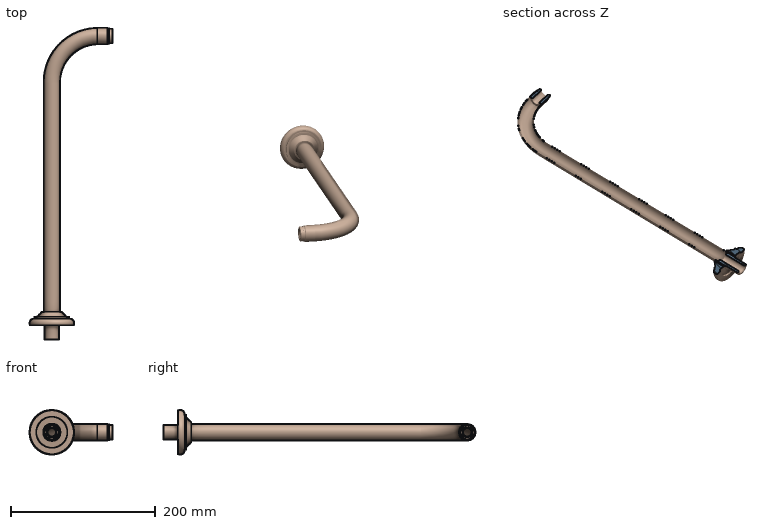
import cadquery as cq
import math


pipe_radius = 11.5
pipe_wall = 1.5
pipe_bore_radius = pipe_radius - pipe_wall
outlet_axis_y = 400.0
bend_radius = 64.0
bend_start_y = outlet_axis_y - bend_radius
pipe_end_x = 77.8
pipe_end_chamfer = 0.9

nipple_radius = 10.2
nipple_bore_radius = 5.8
nipple_plug_depth = 15.0
inlet_chamfer = 0.6
bore_chamfer = 1.2
inlet_length = 20.0

outlet_end_x = 84.0
outlet_chamfer = 0.6
washer_thickness = 1.7
washer_radius = 10.8

bush_thickness = 0.6
rosette_bore_radius = pipe_radius + bush_thickness
rosette_radius = 31.0
rosette_height = 18.5
rosette_tip_radius = 14.0
cone_base_radius = 20.5
upper_step_radius = 24.0
upper_step_y = 11.7
lower_step_radius = 26.5
lower_step_y = 9.2
rim_widest_y = 3.0
rim_back_radius = 30.27
recess_radius = 21.5
recess_depth = 2.5


def make_arm():
    """Pipe with a quarter bend, hollow from end to end."""
    bend_mid = bend_radius * (1 - math.sqrt(0.5))
    path = (
        cq.Workplane("XY")
        .moveTo(0, 0)
        .lineTo(0, bend_start_y)
        .threePointArc((bend_mid, outlet_axis_y - bend_mid), (bend_radius, outlet_axis_y))
        .lineTo(pipe_end_x, outlet_axis_y)
    )
    section = cq.Workplane("XZ").circle(pipe_radius).circle(pipe_bore_radius)
    socket = cq.Workplane("XZ").circle(nipple_radius)
    inlet_socket = socket.extrude(-nipple_plug_depth)
    outlet_socket = (
        cq.Workplane("YZ", origin=(pipe_end_x, outlet_axis_y, 0))
        .circle(nipple_radius)
        .extrude(-nipple_plug_depth)
    )
    pipe = section.sweep(path).cut(inlet_socket).cut(outlet_socket)
    outlet_rim = cq.selectors.RadiusNthSelector(-1)
    return pipe.faces(">X").edges(outlet_rim).chamfer(pipe_end_chamfer)


def make_nipple(exposed_length, end_chamfer):
    """Nipple along +Z: plugged in below Z = 0, open end at Z = exposed_length."""
    body = (
        cq.Workplane("XY", origin=(0, 0, -nipple_plug_depth))
        .circle(nipple_radius)
        .extrude(nipple_plug_depth + exposed_length)
        .faces(">Z").edges().chamfer(end_chamfer)
    )
    bore = (
        cq.Workplane("XY", origin=(0, 0, -nipple_plug_depth))
        .circle(nipple_bore_radius)
        .extrude(nipple_plug_depth + exposed_length)
    )
    bore_mouth = cq.selectors.RadiusNthSelector(0)
    return body.cut(bore).faces(">Z").edges(bore_mouth).chamfer(bore_chamfer)


def make_washer():
    """Ring on the outlet nipple, against the end of the pipe."""
    return (
        cq.Workplane("YZ", origin=(pipe_end_x, outlet_axis_y, 0))
        .circle(washer_radius)
        .circle(nipple_radius)
        .extrude(washer_thickness)
    )


def make_rosette():
    """Stepped wall cover turned about the pipe axis."""
    return (
        cq.Workplane("XY")
        .moveTo(rosette_bore_radius, recess_depth)
        .lineTo(recess_radius, recess_depth)
        .lineTo(recess_radius, 0)
        .lineTo(rim_back_radius, 0)
        .threePointArc((rosette_radius, rim_widest_y), (lower_step_radius, lower_step_y))
        .lineTo(upper_step_radius, lower_step_y)
        .lineTo(upper_step_radius, upper_step_y)
        .lineTo(cone_base_radius, upper_step_y)
        .lineTo(rosette_tip_radius, rosette_height)
        .lineTo(rosette_bore_radius, rosette_height)
        .close()
        .revolve(360, (0, 0), (0, 1))
    )


def make_bush():
    """Sleeve on the pipe that fills the bore of the rosette."""
    return (
        cq.Workplane("XZ", origin=(0, recess_depth, 0))
        .circle(rosette_bore_radius)
        .circle(pipe_radius)
        .extrude(recess_depth - rosette_height)
    )


arm = make_arm()
rosette = make_rosette()
bush = make_bush()
inlet_nipple = make_nipple(inlet_length, inlet_chamfer).rotate((0, 0, 0), (1, 0, 0), 90)
outlet_nipple = (
    make_nipple(outlet_end_x - pipe_end_x, outlet_chamfer)
    .rotate((0, 0, 0), (0, 1, 0), 90)
    .translate((pipe_end_x, outlet_axis_y, 0))
)
washer = make_washer()

result = cq.Compound.makeCompound(
    [
        arm.val(),
        rosette.val(),
        bush.val(),
        inlet_nipple.val(),
        outlet_nipple.val(),
        washer.val(),
    ]
)